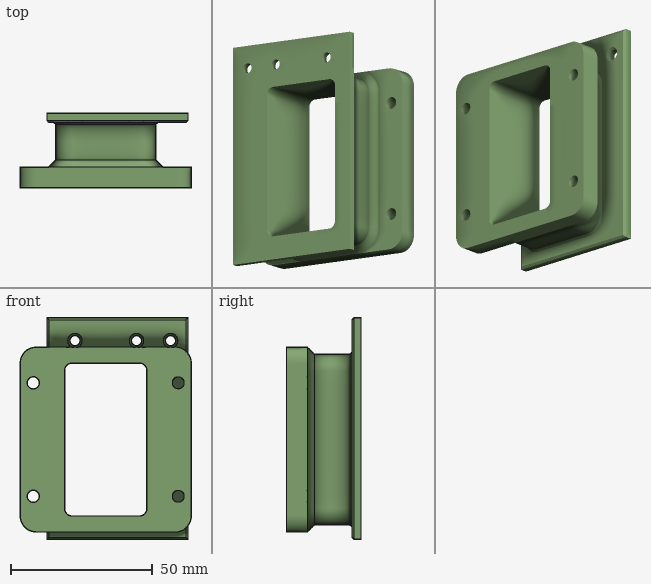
import cadquery as cq

TOTAL_DEPTH = 26.4

BORE_WIDTH = 28.9
BORE_HEIGHT = 53.8
BORE_RADIUS = 2.5
WALL = 3.2
NECK_WIDTH = BORE_WIDTH + 2 * WALL
NECK_HEIGHT = BORE_HEIGHT + 2 * WALL
NECK_RADIUS = BORE_RADIUS + WALL

FLARE = 2.5
FLANGE_WIDTH = 60.4
FLANGE_HEIGHT = NECK_HEIGHT + 2 * FLARE
FLANGE_THICKNESS = 7.4
FLANGE_RADIUS = NECK_RADIUS
FLANGE_HOLE_DIAMETER = 4.2
FLANGE_HOLE_SPACING_X = 51.1
FLANGE_HOLE_SPACING_Z = 40.0

PLATE_WIDTH = 49.8
PLATE_HEIGHT = 78.18
PLATE_THICKNESS = 3.3
PLATE_CHAMFER = 0.75
PLATE_OFFSET_X = 4.1
PLATE_OFFSET_Z = 3.88
PLATE_FRONT = TOTAL_DEPTH - PLATE_THICKNESS
PLATE_FLARE = 0.7

PLATE_HOLE_DIAMETER = 3.5
COUNTERSINK_DIAMETER = 5.1
COUNTERSINK_ANGLE = 90
PLATE_HOLE_X = (-10.85, 10.85, 22.85)
PLATE_HOLE_EDGE_DISTANCE = 8.1
PLATE_HOLE_Z = PLATE_OFFSET_Z + PLATE_HEIGHT / 2 - PLATE_HOLE_EDGE_DISTANCE


def section_plane(y):
    """Workplane across the duct at depth y, with local axes X and Z and normal -Y."""
    return cq.Workplane("XZ", origin=(0, y, 0))


def rounded_block(width, height, radius, y_start, y_end):
    """Block centred on the duct axis, with its four lengthwise edges rounded."""
    block = section_plane(y_end).rect(width, height).extrude(y_end - y_start)
    return block.edges("|Y").fillet(radius)


def neck_flare(size, y_wide, direction):
    """Collar that shrinks at 45 degrees from y_wide along +Y (1) or -Y (-1) to the neck size."""
    plane = cq.Plane(origin=(0, y_wide, 0), xDir=(1, 0, 0), normal=(0, direction, 0))
    outline = cq.Sketch().rect(NECK_WIDTH + 2 * size, NECK_HEIGHT + 2 * size)
    outline = outline.vertices().fillet(NECK_RADIUS + size)
    return cq.Workplane(plane).placeSketch(outline).extrude(size, taper=45)


def mounting_flange():
    flange = rounded_block(FLANGE_WIDTH, FLANGE_HEIGHT, FLANGE_RADIUS, 0, FLANGE_THICKNESS)
    holes = (
        section_plane(FLANGE_THICKNESS)
        .rarray(FLANGE_HOLE_SPACING_X, FLANGE_HOLE_SPACING_Z, 2, 2)
        .circle(FLANGE_HOLE_DIAMETER / 2)
        .extrude(FLANGE_THICKNESS)
    )
    return flange.cut(holes)


def back_plate():
    plate = (
        section_plane(TOTAL_DEPTH)
        .center(PLATE_OFFSET_X, PLATE_OFFSET_Z)
        .rect(PLATE_WIDTH, PLATE_HEIGHT)
        .extrude(PLATE_THICKNESS)
        .faces("<Y")
        .chamfer(PLATE_CHAMFER)
    )
    hole_centres = [(x, PLATE_HOLE_Z) for x in PLATE_HOLE_X]
    return (
        plate.copyWorkplane(section_plane(PLATE_FRONT))
        .pushPoints(hole_centres)
        .cskHole(PLATE_HOLE_DIAMETER, COUNTERSINK_DIAMETER, COUNTERSINK_ANGLE)
    )


neck = rounded_block(NECK_WIDTH, NECK_HEIGHT, NECK_RADIUS, FLANGE_THICKNESS, PLATE_FRONT)
bore = rounded_block(BORE_WIDTH, BORE_HEIGHT, BORE_RADIUS, 0, TOTAL_DEPTH)

result = (
    mounting_flange()
    .union(neck)
    .union(neck_flare(FLARE, FLANGE_THICKNESS, 1))
    .union(neck_flare(PLATE_FLARE, PLATE_FRONT, -1))
    .union(back_plate())
    .cut(bore)
)